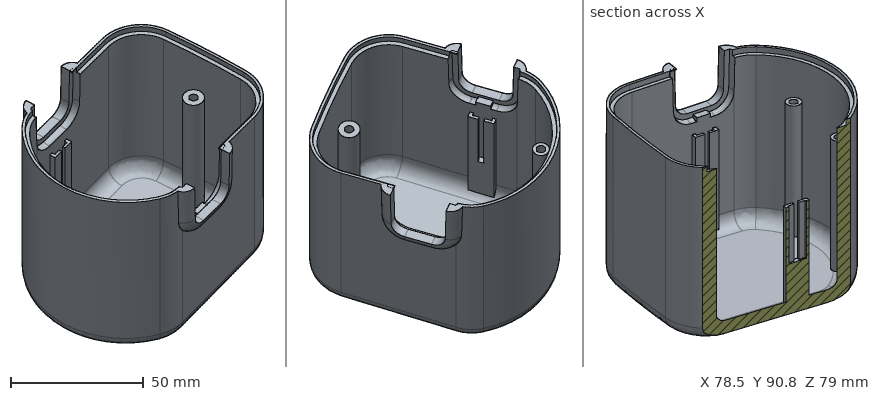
import cadquery as cq
import math

BODY_LENGTH = 90.8
HALF_WIDTH = 35.35
LOWEST_Z = -78.96
BACK_BULGE_RADIUS = 400.0
BACK_CORNER_RADIUS = 18.1
FRONT_NOSE_RADIUS = 39.6
FRONT_CORNER_RADIUS = 17.0
BOTTOM_TILT = math.radians(2.0)
BOTTOM_FILLET = 6.0

WALL = 2.9
FLOOR = 3.0
RIM_LIP = 1.2
RIM_STEP_DEPTH = 2.5

NOTCH_Y = -50.75
NOTCH_DEPTH = 22.1
NOTCH_HALF_FLAT = 5.4
NOTCH_CORNER_RADIUS = 5.4
NOTCH_DRAFT = math.radians(1.3)
COLLAR_REACH = 78.5 / 2
COLLAR_RADIUS = 5.25
COLLAR_ROOT_X = HALF_WIDTH - WALL / 2

RELIEF_RADIUS = 3.05
RELIEF_CENTRE_X = 33.4
RELIEF_SKIN = 0.4

TAB_WIDTH = 6.0
TAB_DROP = 1.2

CLIP_WIDTH = 10.5
CLIP_DEPTH = 2.4
CLIP_TOP_Z = -30.0
CLIP_SIDE = 1.4
CLIP_FRONT = 1.15
CLIP_MOUTH = 2.2
CLIP_SLOT_DEPTH = 25.0

SCREW_HOLE_DIAMETER = 3.5
BACK_POST_DIAMETER = 8.3
BACK_POST = (0, -8.87)
FRONT_POST_DIAMETER = 6.3
FRONT_POST_X = 15.5
FRONT_POST_Y = -80.05
POST_TOP_Z = -18.4

MARGIN = 5.0
DEEP = 100.0


def polar(centre, radius, angle):
    """Point at the given angle (radians) on a circle in the XY plane."""
    return (centre[0] + radius * math.cos(angle), centre[1] + radius * math.sin(angle))


def mirrored(point):
    return (-point[0], point[1])


def body_outline(inset):
    """Plan outline of tangent arcs, moved inward by inset."""
    bulge_centre = (0, -BACK_BULGE_RADIUS)
    nose_centre = (0, FRONT_NOSE_RADIUS - BODY_LENGTH)
    back_x = HALF_WIDTH - BACK_CORNER_RADIUS
    back_rise = math.sqrt((BACK_BULGE_RADIUS - BACK_CORNER_RADIUS) ** 2 - back_x**2)
    back_centre = (back_x, bulge_centre[1] + back_rise)
    back_angle = math.atan2(back_rise, back_x)
    front_x = HALF_WIDTH - FRONT_CORNER_RADIUS
    front_drop = math.sqrt((FRONT_NOSE_RADIUS - FRONT_CORNER_RADIUS) ** 2 - front_x**2)
    front_centre = (front_x, nose_centre[1] - front_drop)
    front_angle = math.atan2(-front_drop, front_x)

    back_radius = BACK_CORNER_RADIUS - inset
    front_radius = FRONT_CORNER_RADIUS - inset
    return (
        cq.Workplane("XY")
        .moveTo(0, -inset)
        .threePointArc(
            polar(bulge_centre, BACK_BULGE_RADIUS - inset, (math.pi / 2 + back_angle) / 2),
            polar(back_centre, back_radius, back_angle),
        )
        .threePointArc(
            polar(back_centre, back_radius, back_angle / 2),
            polar(back_centre, back_radius, 0),
        )
        .lineTo(*polar(front_centre, front_radius, 0))
        .threePointArc(
            polar(front_centre, front_radius, front_angle / 2),
            polar(front_centre, front_radius, front_angle),
        )
        .threePointArc(
            polar(nose_centre, FRONT_NOSE_RADIUS - inset, (front_angle - math.pi / 2) / 2),
            (0, inset - BODY_LENGTH),
        )
        .mirrorY()
    )


def space_above_bottom(lift):
    """Everything between z = 0 and the tilted bottom plane raised by lift."""
    lowest_y = BOTTOM_FILLET - BODY_LENGTH
    slope = math.tan(BOTTOM_TILT)
    back_y = MARGIN
    front_y = -BODY_LENGTH - MARGIN
    back_z = LOWEST_Z + lift + (back_y - lowest_y) * slope
    front_z = LOWEST_Z + lift + (front_y - lowest_y) * slope
    return (
        cq.Workplane("YZ")
        .polyline([(back_y, 0), (back_y, back_z), (front_y, front_z), (front_y, 0)])
        .close()
        .extrude(DEEP, both=True)
    )


def tilted_cup(inset, lift):
    """Solid of the outline with the tilted, rounded bottom."""
    block = body_outline(inset).extrude(-DEEP).intersect(space_above_bottom(lift))
    return block.faces("<Z").edges().fillet(BOTTOM_FILLET)


def notch_points():
    """Half-profile of the notch: top, wall tangent point, corner middle and flat end (y, z)."""
    centre = (NOTCH_HALF_FLAT, NOTCH_CORNER_RADIUS - NOTCH_DEPTH)
    tangent = polar(centre, NOTCH_CORNER_RADIUS, -NOTCH_DRAFT)
    middle = polar(centre, NOTCH_CORNER_RADIUS, -(NOTCH_DRAFT + math.pi / 2) / 2)
    flat_end = (NOTCH_HALF_FLAT, -NOTCH_DEPTH)
    top = (tangent[0] + (MARGIN - tangent[1]) * math.tan(NOTCH_DRAFT), MARGIN)
    return top, tangent, middle, flat_end


def notch_path(x):
    top, tangent, middle, flat_end = notch_points()
    return (
        cq.Workplane("YZ", origin=(x, NOTCH_Y, 0))
        .moveTo(*top)
        .lineTo(*tangent)
        .threePointArc(middle, flat_end)
        .lineTo(*mirrored(flat_end))
        .threePointArc(mirrored(middle), mirrored(tangent))
        .lineTo(*mirrored(top))
    )


def sweep_around_notch(centre_x, radius, inner_x, outer_x):
    """Sweep a slice of a half disc around the outside of the +X notch edge."""
    inner_y = math.sqrt(radius**2 - (inner_x - centre_x) ** 2)
    outer_y = math.sqrt(radius**2 - (outer_x - centre_x) ** 2)
    middle_x = (inner_x + outer_x) / 2
    middle_y = math.sqrt(radius**2 - (middle_x - centre_x) ** 2)
    top_y = notch_points()[0][0]
    profile = (
        cq.Workplane("XY", origin=(0, NOTCH_Y + top_y, MARGIN))
        .moveTo(inner_x, 0)
        .lineTo(inner_x, inner_y)
        .threePointArc((middle_x, middle_y), (outer_x, outer_y))
    )
    if outer_y > 0:
        profile = profile.lineTo(outer_x, 0)
    return profile.close().sweep(notch_path(inner_x))


def below_rim(solid):
    """Part of a solid lying below the rim plane z = 0."""
    half_space = cq.Workplane("XY").rect(2 * DEEP, 3 * DEEP).extrude(-2 * DEEP)
    return solid.intersect(half_space)


def both_sides(solid):
    return solid.union(solid.mirror("YZ"))


def notch_opening(start_x):
    return notch_path(start_x).close().extrude(DEEP)


def collar():
    centre_x = COLLAR_REACH - COLLAR_RADIUS
    return below_rim(sweep_around_notch(centre_x, COLLAR_RADIUS, COLLAR_ROOT_X, COLLAR_REACH))


def relief():
    inner_x = HALF_WIDTH - WALL - RIM_LIP
    groove = sweep_around_notch(RELIEF_CENTRE_X, RELIEF_RADIUS, inner_x, HALF_WIDTH)
    skin = (
        cq.Workplane("XY")
        .box(2 * DEEP, DEEP, RELIEF_SKIN, centered=(True, False, False))
        .translate((0, NOTCH_Y, -RELIEF_SKIN))
    )
    return below_rim(groove).cut(skin)


def tab():
    top_z = -NOTCH_DEPTH - TAB_DROP
    return (
        cq.Workplane("XY", origin=(HALF_WIDTH - WALL / 2, NOTCH_Y, top_z))
        .rect(WALL, TAB_WIDTH)
        .extrude(-RELIEF_RADIUS)
    )


def clip():
    """Block with a blind T-shaped slot opening toward the middle of the cup."""
    wall_x = HALF_WIDTH - WALL
    root_depth = WALL / 2
    top = cq.Workplane("XY", origin=(0, NOTCH_Y, CLIP_TOP_Z))
    block = top.center(wall_x + (root_depth - CLIP_DEPTH) / 2, 0)
    block = block.rect(CLIP_DEPTH + root_depth, CLIP_WIDTH).extrude(-DEEP)
    head_depth = CLIP_DEPTH - CLIP_FRONT
    head = top.center(wall_x - head_depth / 2, 0)
    head = head.rect(head_depth, CLIP_WIDTH - 2 * CLIP_SIDE).extrude(-CLIP_SLOT_DEPTH)
    mouth = top.center(wall_x - CLIP_DEPTH / 2, 0)
    mouth = mouth.rect(CLIP_DEPTH, CLIP_MOUTH).extrude(-CLIP_SLOT_DEPTH)
    return block.cut(head).cut(mouth)


def post(place, diameter):
    """Tubular post whose screw hole ends at the cup floor."""
    return (
        cq.Workplane("XY", origin=(place[0], place[1], POST_TOP_Z))
        .circle(diameter / 2)
        .circle(SCREW_HOLE_DIAMETER / 2)
        .extrude(-DEEP)
    )


outer = tilted_cup(0, 0)
cavity = tilted_cup(WALL, FLOOR)

result = outer.union(both_sides(collar())).cut(cavity)
result = result.cut(body_outline(RIM_LIP).extrude(-RIM_STEP_DEPTH))
result = result.cut(both_sides(notch_opening(HALF_WIDTH - WALL - RIM_LIP)))
result = result.cut(both_sides(relief()))

result = result.union(tab())
inner_features = both_sides(clip()).union(post(BACK_POST, BACK_POST_DIAMETER))
for side in (-1, 1):
    front_post = post((side * FRONT_POST_X, FRONT_POST_Y), FRONT_POST_DIAMETER)
    inner_features = inner_features.union(front_post)
result = result.union(inner_features.intersect(cavity))